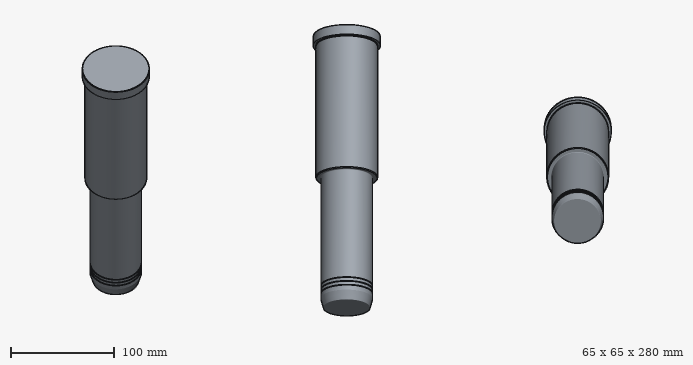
import cadquery as cq
import math

total_length = 280

head_diameter = 65.0
head_height = 10.0
head_edge_chamfer = 0.5

body_diameter = 60.0
body_length = 136.5
body_edge_chamfer = 0.8

shank_diameter = 50.0
shank_root_fillet = 0.5

relief_width = 1.0
relief_depth = 0.5

groove_count = 3
groove_width = 0.8
groove_depth = 0.42
groove_pitch = 4.0
lowest_groove_height = 14.5

lead_length = 9.2
lead_angle = 15
tip_fillet = 0.3

head_bottom = total_length - head_height
body_bottom = head_bottom - body_length
lead_inset = lead_length * math.tan(math.radians(lead_angle))


def cylinder(diameter, bottom, top):
    """Solid cylinder on the Z axis between two heights."""
    return cq.Workplane("XY").workplane(offset=bottom).circle(diameter / 2).extrude(top - bottom)


def v_groove(diameter, height, width, depth):
    """Ring that cuts a V-groove, centred at a height, into a cylinder of the given diameter."""
    surface = diameter / 2
    profile = (
        cq.Workplane("XZ")
        .moveTo(surface, height - width / 2)
        .lineTo(surface - depth, height)
        .lineTo(surface, height + width / 2)
        .close()
    )
    return profile.revolve(360, (0, 0, 0), (0, 1, 0))


def make_head():
    head = cylinder(head_diameter, head_bottom, total_length)
    return head.faces(">Z").edges().chamfer(head_edge_chamfer)


def make_body():
    body = cylinder(body_diameter, body_bottom, head_bottom)
    body = body.faces("<Z").edges().chamfer(body_edge_chamfer)
    relief_height = head_bottom - relief_width / 2
    return body.cut(v_groove(body_diameter, relief_height, relief_width, relief_depth))


def make_shank():
    shank = cylinder(shank_diameter, 0, body_bottom)
    shank = shank.faces("<Z").edges().chamfer(lead_length, lead_inset)
    shank = shank.faces("<Z").edges().fillet(tip_fillet)
    for index in range(groove_count):
        height = lowest_groove_height + index * groove_pitch
        shank = shank.cut(v_groove(shank_diameter, height, groove_width, groove_depth))
    return shank


def make_root_fillet():
    """Concave ring that rounds the corner between the shank and the underside of the body."""
    surface = shank_diameter / 2
    arc_offset = shank_root_fillet * (1 - math.sqrt(0.5))
    profile = (
        cq.Workplane("XZ")
        .moveTo(surface, body_bottom)
        .lineTo(surface, body_bottom - shank_root_fillet)
        .threePointArc(
            (surface + arc_offset, body_bottom - arc_offset),
            (surface + shank_root_fillet, body_bottom),
        )
        .close()
    )
    return profile.revolve(360, (0, 0, 0), (0, 1, 0))


result = make_shank().union(make_root_fillet()).union(make_body()).union(make_head())